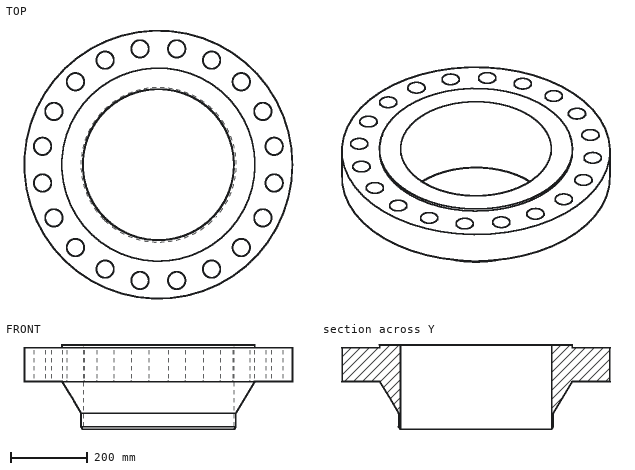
import cadquery as cq

flange_diameter = 705.0
raised_face_diameter = 507.5
hub_diameter = 507.5
neck_diameter = 407.5
bore_diameter = 396.0
total_height = 222.0
raised_face_height = 7.0
flange_thickness = 89.5
neck_height = 42.0
weld_bevel_height = 6.0
weld_bevel_width = 4.0

bolt_count = 20
bolt_circle_diameter = 616.0
bolt_hole_diameter = 45.0

flange_top = total_height - raised_face_height
flange_bottom = flange_top - flange_thickness


def flange_body():
    """Revolve the half section of the neck, hub, flange and raised face."""
    neck_radius = neck_diameter / 2
    section = (
        cq.Workplane("XZ")
        .moveTo(bore_diameter / 2, 0)
        .lineTo(neck_radius - weld_bevel_width, 0)
        .lineTo(neck_radius, weld_bevel_height)
        .lineTo(neck_radius, neck_height)
        .lineTo(hub_diameter / 2, flange_bottom)
        .lineTo(flange_diameter / 2, flange_bottom)
        .lineTo(flange_diameter / 2, flange_top)
        .lineTo(raised_face_diameter / 2, flange_top)
        .lineTo(raised_face_diameter / 2, total_height)
        .lineTo(bore_diameter / 2, total_height)
        .close()
    )
    return section.revolve(360, (0, 0, 0), (0, 1, 0))


def bolt_holes():
    """Through holes straddling the X and Y axes."""
    half_pitch = 360 / bolt_count / 2
    return (
        cq.Workplane("XY")
        .workplane(offset=flange_bottom)
        .polarArray(bolt_circle_diameter / 2, half_pitch, 360, bolt_count)
        .circle(bolt_hole_diameter / 2)
        .extrude(flange_thickness)
    )


result = flange_body().cut(bolt_holes())